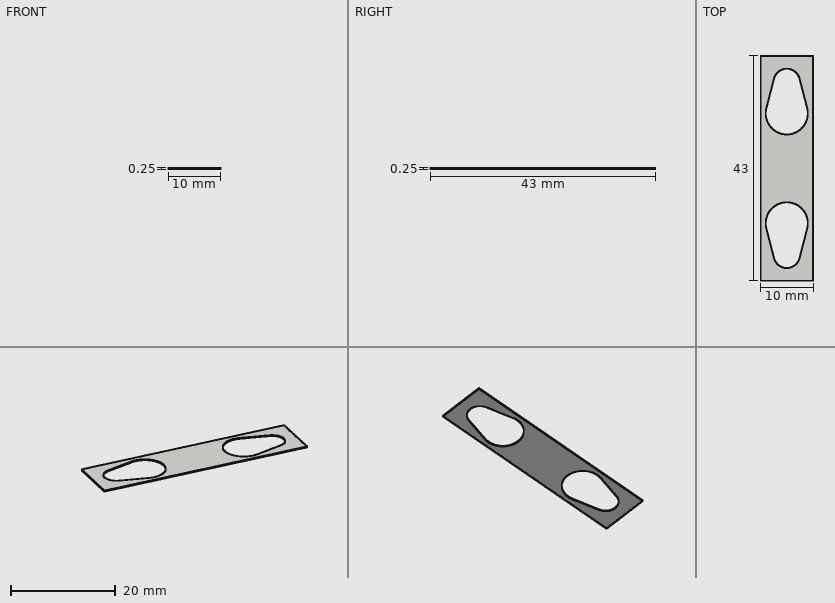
import cadquery as cq
import math

plate_width = 10.0
plate_length = 43.0
plate_thickness = 0.25

large_radius = 4.0
small_radius = 2.5
large_center_y = 10.5
small_center_y = 16.5


def teardrop_cutter(end):
    """Two circles joined by tangent lines; end is +1 or -1 along Y."""
    tangent_sine = (large_radius - small_radius) / (small_center_y - large_center_y)
    tangent_cosine = math.sqrt(1 - tangent_sine**2)
    large_x = large_radius * tangent_cosine
    large_y = end * (large_center_y + large_radius * tangent_sine)
    small_x = small_radius * tangent_cosine
    small_y = end * (small_center_y + small_radius * tangent_sine)
    inner_tip = (0, end * (large_center_y - large_radius))
    outer_tip = (0, end * (small_center_y + small_radius))
    return (
        cq.Workplane("XY")
        .moveTo(large_x, large_y)
        .lineTo(small_x, small_y)
        .threePointArc(outer_tip, (-small_x, small_y))
        .lineTo(-large_x, large_y)
        .threePointArc(inner_tip, (large_x, large_y))
        .close()
        .extrude(plate_thickness, both=True)
    )


result = cq.Workplane("XY").box(plate_width, plate_length, plate_thickness)
for end in (1, -1):
    result = result.cut(teardrop_cutter(end))